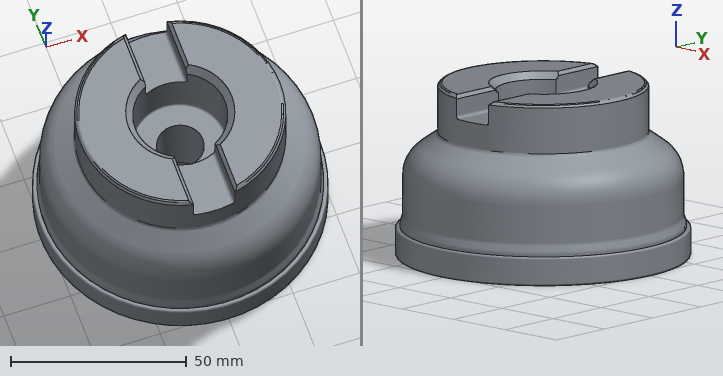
import cadquery as cq
import math

total_height = 50.0
through_hole_diameter = 13.5

base_diameter = 84.0
base_height = 8.2
base_edge_radius = 0.6

foot_radius = 40.75
foot_top_z = 9.25
body_radius = 80.0 / 2
body_bottom_z = 11.5
foot_blend_radius = 1.5
shoulder_start_z = 23.1
shoulder_radius = 10.0
shoulder_slope = math.radians(35)
hub_radius = 60.0 / 2
hub_blend_radius = 1.0
hub_edge_chamfer = 0.8
hub_edge_radius = 0.75

bore_radius = 27.0 / 2
bore_depth = 20.0
bore_floor_fillet = 0.6
bore_chamfer_width = 2.0
bore_chamfer_depth = 2.0

slot_width = 12.4
slot_depth = 6.8
slot_floor_fillet = 0.9
slot_edge_chamfer = 1.0


def make_base():
    """Flat round base with rounded rims and a clearance hole."""
    disc = cq.Workplane("XY").circle(base_diameter / 2).extrude(base_height)
    disc = disc.edges().fillet(base_edge_radius)
    hole = cq.Workplane("XY").circle(through_hole_diameter / 2).extrude(base_height)
    return disc.cut(hole)


def make_housing_blank():
    """Turned outside shape: foot, cylinder, rounded shoulder, cone and hub."""
    arc_center_r = body_radius - shoulder_radius
    arc_angle = math.pi / 2 - shoulder_slope

    def shoulder_point(angle):
        r = arc_center_r + shoulder_radius * math.cos(angle)
        z = shoulder_start_z + shoulder_radius * math.sin(angle)
        return r, z

    cone_bottom_r, cone_bottom_z = shoulder_point(arc_angle)
    hub_bottom_z = cone_bottom_z + (cone_bottom_r - hub_radius) * math.tan(shoulder_slope)
    profile = (
        cq.Workplane("XZ")
        .moveTo(0, base_height)
        .lineTo(foot_radius, base_height)
        .lineTo(foot_radius, foot_top_z)
        .lineTo(body_radius, body_bottom_z)
        .lineTo(body_radius, shoulder_start_z)
        .threePointArc(shoulder_point(arc_angle / 2), (cone_bottom_r, cone_bottom_z))
        .lineTo(hub_radius, hub_bottom_z)
        .lineTo(hub_radius, total_height)
        .lineTo(0, total_height)
        .close()
    )
    blank = profile.revolve(360, (0, 0, 0), (0, 1, 0))

    blank = blank.edges(rim_selector(foot_radius, foot_top_z)).fillet(foot_blend_radius)
    blank = blank.edges(rim_selector(body_radius, body_bottom_z)).fillet(foot_blend_radius)
    blank = blank.edges(rim_selector(hub_radius, hub_bottom_z)).fillet(hub_blend_radius)
    blank = blank.faces(">Z").edges().chamfer(hub_edge_chamfer)
    return blank.faces(">Z").edges().fillet(hub_edge_radius)


def rim_selector(radius, z):
    """Select the circular edge of the given radius at the given height."""
    margin = 0.1
    reach = radius + margin
    return cq.selectors.BoxSelector(
        (-reach, -reach, z - margin), (reach, reach, z + margin), boundingbox=True
    )


def make_bore():
    """Cutter for the hub bore, its entry chamfer and the clearance hole."""
    bore_floor_z = total_height - bore_depth
    bore = cq.Workplane("XY").workplane(offset=bore_floor_z).circle(bore_radius).extrude(bore_depth)
    bore = bore.faces("<Z").edges().fillet(bore_floor_fillet)
    entry = (
        cq.Workplane("XZ")
        .moveTo(0, total_height)
        .lineTo(bore_radius + bore_chamfer_width, total_height)
        .lineTo(bore_radius, total_height - bore_chamfer_depth)
        .lineTo(0, total_height - bore_chamfer_depth)
        .close()
        .revolve(360, (0, 0, 0), (0, 1, 0))
    )
    hole = cq.Workplane("XY").circle(through_hole_diameter / 2).extrude(total_height)
    return bore.union(entry).union(hole)


def make_slot():
    """Cutter for the driving slot with rounded floor corners and chamfered rims."""
    length = 2 * base_diameter
    floor_z = total_height - slot_depth
    slot = cq.Workplane("XY").workplane(offset=floor_z).rect(slot_width, length).extrude(slot_depth)
    slot = slot.faces("<Z").edges("|Y").fillet(slot_floor_fillet)
    half_width = slot_width / 2
    rim = (
        cq.Workplane("XZ", origin=(0, length / 2, 0))
        .moveTo(-half_width - slot_edge_chamfer, total_height)
        .lineTo(half_width + slot_edge_chamfer, total_height)
        .lineTo(half_width, total_height - slot_edge_chamfer)
        .lineTo(-half_width, total_height - slot_edge_chamfer)
        .close()
        .extrude(length)
    )
    return slot.union(rim)


def make_housing():
    """Turned housing with the bore and the driving slot cut into its hub."""
    return make_housing_blank().cut(make_bore()).cut(make_slot())


base = make_base()
housing = make_housing()
result = cq.Compound.makeCompound([base.val(), housing.val()])